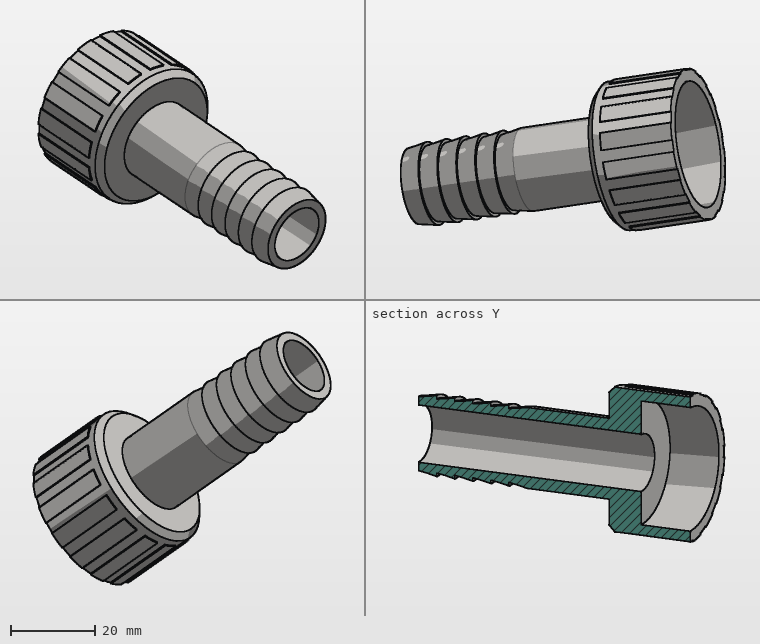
import cadquery as cq
import math

total_length = 72.0
cap_length = 21.6
shank_end = 43.2

cap_diameter = 35.7
cap_chamfer = 1.6
socket_diameter = 30.3
socket_depth = 12.95

grip_width = 36.2
grip_length = 18.0
rib_count = 16
gap_angle = 9.0
rib_pitch = 360.0 / rib_count
rib_angle = rib_pitch - gap_angle
rib_radius = grip_width / 2 / math.cos(math.radians(gap_angle / 2))
rib_root_radius = (cap_diameter + socket_diameter) / 4

tail_diameter = 20.0
bore_diameter = 14.0
barb_count = 6
barb_tip_diameter = 18.3
barb_length = (total_length - shank_end) / barb_count


def cylinder(start, length, diameter):
    """Solid cylinder on the X axis."""
    return cq.Workplane("YZ", origin=(start, 0, 0)).circle(diameter / 2).extrude(length)


def polar(radius, degrees):
    angle = math.radians(degrees)
    return radius * math.cos(angle), radius * math.sin(angle)


def grip_rib(start_angle):
    """Ring segment running along the cap, rooted inside its wall."""
    mid_angle = start_angle + rib_angle / 2
    end_angle = start_angle + rib_angle
    return (
        cq.Workplane("YZ")
        .moveTo(*polar(rib_root_radius, start_angle))
        .lineTo(*polar(rib_radius, start_angle))
        .threePointArc(polar(rib_radius, mid_angle), polar(rib_radius, end_angle))
        .lineTo(*polar(rib_root_radius, end_angle))
        .threePointArc(polar(rib_root_radius, mid_angle), polar(rib_root_radius, start_angle))
        .close()
        .extrude(grip_length)
    )


def hose_tail():
    """Plain shank followed by barbs that taper towards the free end."""
    profile = cq.Workplane("XY").moveTo(0, 0).lineTo(0, tail_diameter / 2)
    for index in range(barb_count):
        barb_start = shank_end + index * barb_length
        profile = profile.lineTo(barb_start, tail_diameter / 2)
        profile = profile.lineTo(barb_start + barb_length, barb_tip_diameter / 2)
    return profile.lineTo(total_length, 0).close().revolve(360, (0, 0, 0), (1, 0, 0))


cap = cylinder(0, cap_length, cap_diameter).faces(">X").chamfer(cap_chamfer)
for index in range(rib_count):
    cap = cap.union(grip_rib(gap_angle / 2 + index * rib_pitch))

socket = cylinder(0, socket_depth, socket_diameter)
bore = cylinder(0, total_length, bore_diameter)

result = cap.union(hose_tail()).cut(socket).cut(bore)